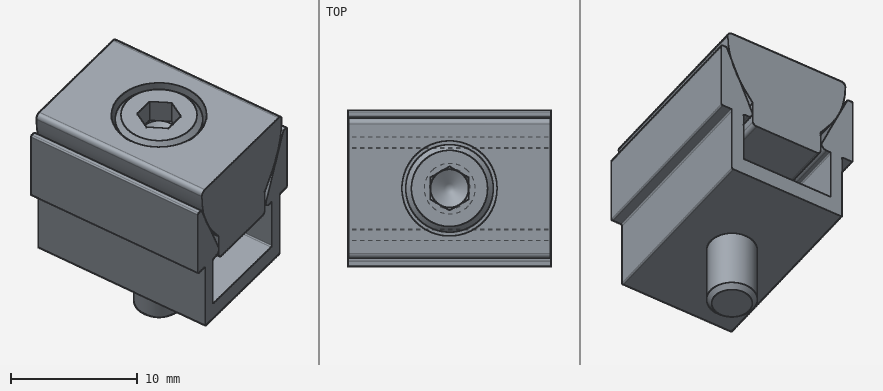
import cadquery as cq
import math


wedge_length = 15.875
wedge_top_z = 14.51
wedge_bottom_z = 5.735
wedge_half_width = 5.52
wedge_stem_half_width = 3.175
wedge_stem_top_z = 8.05
wedge_top_fillet = 0.42
wedge_stem_fillet = 0.35
flank_radius = 8.6
flank_bottom_z = 9.45

flank_center_y = wedge_half_width - flank_radius
flank_center_z = wedge_top_z - wedge_top_fillet

channel_length = 16.0
channel_height = 12.75
jaw_half_width = 6.16
jaw_bottom_z = 6.35
jaw_slope = math.radians(22.5)
wall_outer_y = 5.17
wall_inner_y = 4.08
floor_thickness = 1.5875
edge_radius = 0.12
inner_corner_radius = 0.1
jaw_tip_radius = 0.45

screw_length = 20.17
shank_diameter = 4.0
shank_end_chamfer = 0.4
head_diameter = 6.9
head_height = 4.0
head_chamfer = 0.45
socket_across_flats = 3.0
socket_depth = 2.0
socket_point_angle = 120.0
screw_tip_z = wedge_top_z - screw_length
head_seat_z = wedge_top_z - head_height
counterbore_diameter = 7.5


def flank_y(z):
    """Half width of the wedge on its curved flank at height z."""
    return flank_center_y + math.sqrt(flank_radius**2 - (z - flank_center_z) ** 2)


def jaw_face_y(z):
    """Distance of the sloped jaw face from the middle plane; the face is tangent to the wedge flank."""
    tangent_offset = flank_radius + flank_center_y * math.cos(jaw_slope)
    return (tangent_offset + (z - flank_center_z) * math.sin(jaw_slope)) / math.cos(jaw_slope)


def edges_at(body, y, z):
    """Lengthwise edges of a body at height z, at distance y on both sides of the middle plane."""
    tolerance = 0.01

    def box_on(side):
        return cq.selectors.BoxSelector(
            (-channel_length, side * y - tolerance, z - tolerance),
            (channel_length, side * y + tolerance, z + tolerance),
        )

    return body.edges("|X").edges(box_on(1) + box_on(-1))


def cylinder(diameter, bottom_z, top_z):
    """Upright cylinder on the screw axis."""
    return cq.Workplane("XY").workplane(offset=bottom_z).circle(diameter / 2).extrude(top_z - bottom_z)


def make_wedge():
    """Wedge with curved flanks above a narrow stem, bored for the screw."""
    flank_mid_z = (flank_center_z + flank_bottom_z) / 2
    half = (
        cq.Workplane("YZ", origin=(-wedge_length / 2, 0, 0))
        .moveTo(0, wedge_bottom_z)
        .lineTo(wedge_stem_half_width, wedge_bottom_z)
        .lineTo(wedge_stem_half_width, wedge_stem_top_z)
        .lineTo(flank_y(flank_bottom_z), flank_bottom_z)
        .threePointArc((flank_y(flank_mid_z), flank_mid_z), (wedge_half_width, flank_center_z))
        .radiusArc((wedge_half_width - wedge_top_fillet, wedge_top_z), -wedge_top_fillet)
        .lineTo(0, wedge_top_z)
    )
    wedge = half.mirrorY().extrude(wedge_length)
    wedge = edges_at(wedge, wedge_stem_half_width, wedge_bottom_z).fillet(wedge_stem_fillet)
    wedge = wedge.cut(cylinder(shank_diameter, wedge_bottom_z, wedge_top_z))
    return wedge.cut(cylinder(counterbore_diameter, head_seat_z, wedge_top_z))


def make_channel():
    """Channel with a sloped jaw on top of each side wall."""
    half = (
        cq.Workplane("YZ", origin=(-channel_length / 2, 0, 0))
        .moveTo(0, 0)
        .lineTo(wall_outer_y, 0)
        .lineTo(wall_outer_y, jaw_bottom_z)
        .lineTo(jaw_half_width, jaw_bottom_z)
        .lineTo(jaw_half_width, channel_height)
        .lineTo(jaw_face_y(channel_height), channel_height)
        .lineTo(jaw_face_y(jaw_bottom_z), jaw_bottom_z)
        .lineTo(wall_inner_y, jaw_bottom_z)
        .lineTo(wall_inner_y, floor_thickness)
        .lineTo(0, floor_thickness)
    )
    channel = half.mirrorY().extrude(channel_length)
    channel = edges_at(channel, jaw_face_y(jaw_bottom_z), jaw_bottom_z).fillet(jaw_tip_radius)
    rounded_edges = [
        (wall_outer_y, 0, edge_radius),
        (wall_outer_y, jaw_bottom_z, edge_radius),
        (jaw_half_width, jaw_bottom_z, edge_radius),
        (jaw_half_width, channel_height, edge_radius),
        (jaw_face_y(channel_height), channel_height, inner_corner_radius),
        (wall_inner_y, floor_thickness, inner_corner_radius),
        (wall_inner_y, jaw_bottom_z, inner_corner_radius),
    ]
    for y, z, radius in rounded_edges:
        channel = edges_at(channel, y, z).fillet(radius)
    return channel.cut(cylinder(shank_diameter, 0, floor_thickness))


def make_screw():
    """Socket head screw with a plain shank."""
    shank = cylinder(shank_diameter, screw_tip_z, head_seat_z).faces("<Z").chamfer(shank_end_chamfer)
    head = cylinder(head_diameter, head_seat_z, wedge_top_z)
    head = head.faces(">Z").edges().chamfer(head_chamfer)

    socket_floor_z = wedge_top_z - socket_depth
    hexagon = (
        cq.Workplane("XY", origin=(0, 0, socket_floor_z))
        .polygon(6, socket_across_flats, circumscribed=True)
        .extrude(socket_depth)
    )
    point_radius = socket_across_flats / 2
    point_height = point_radius / math.tan(math.radians(socket_point_angle / 2))
    point_base = cq.Vector(0, 0, socket_floor_z)
    downward = cq.Vector(0, 0, -1)
    point = cq.Workplane(cq.Solid.makeCone(point_radius, 0, point_height, point_base, downward))
    return shank.union(head).cut(hexagon).cut(point)


wedge = make_wedge()
channel = make_channel()
screw = make_screw()

result = cq.Compound.makeCompound([body.solids().val() for body in (channel, wedge, screw)])